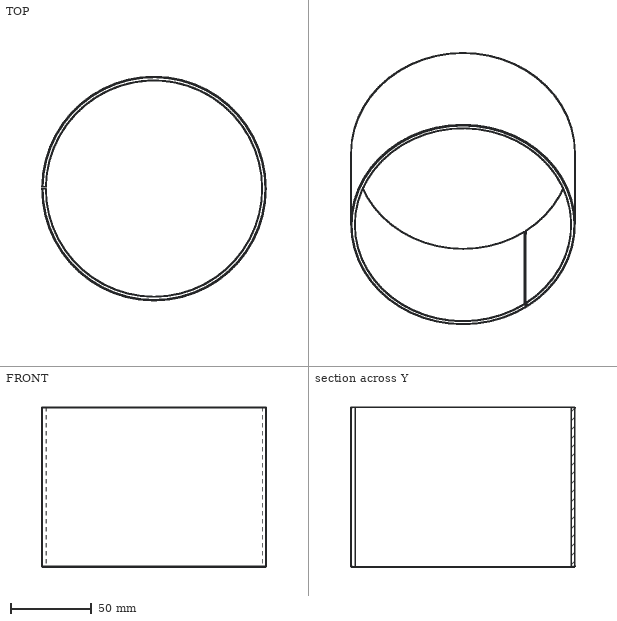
import cadquery as cq

outer_diameter = 140.0
wall = 2.5
height = 100.0
slit_width = 1.1
outer_chamfer = 0.5
inner_chamfer = 0.2

outer_radius = outer_diameter / 2
inner_radius = outer_radius - wall


def chamfered_tube():
    """Thin tube standing on Z = 0 with bevelled outer and inner rims."""
    cylinder = cq.Workplane("XY").circle(outer_radius).extrude(height)
    bevelled = cylinder.faces("<Z or >Z").edges().chamfer(outer_chamfer)
    bore = cq.Workplane("XY").circle(inner_radius).extrude(height)
    inner_rims = cq.selectors.RadiusNthSelector(0)
    return bevelled.cut(bore).edges(inner_rims).chamfer(inner_chamfer)


def slit():
    """Narrow full-height gap through the -X wall, with one side on the Y = 0 plane."""
    gap = cq.Workplane("XY").box(outer_radius, slit_width, height, centered=False)
    return gap.translate((-outer_radius, 0, 0))


result = chamfered_tube().cut(slit())